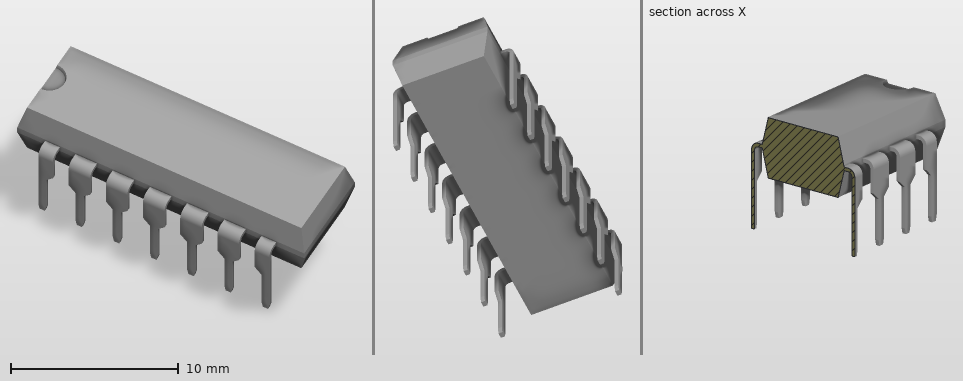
import cadquery as cq
import math

body_length = 19.6
body_width = 6.2
draft_height = 1.7
belt_height = 0.47
draft_inset = 0.43
body_height = 2 * draft_height + belt_height
draft_angle = math.degrees(math.atan2(draft_inset, draft_height))

notch_radius = 1.02
notch_floor_radius = 0.95
notch_depth = 0.24
notch_edge_offset = 0.04
notch_center_x = -body_length / 2 + draft_inset + notch_edge_offset

leads_per_row = 7
row_length = 15.25
pitch = row_length / (leads_per_row - 1)
row_span = 7.88
overall_height = 7.37
lead_thickness = 0.25
bend_outer_radius = 0.53
bend_inner_radius = bend_outer_radius - lead_thickness
shoulder_width = 1.47
pin_width = 0.53
tip_width = 0.35
tip_height = 0.4

body_top_z = body_height / 2
body_bottom_z = -body_height / 2
lead_top_z = lead_thickness / 2
lead_bottom_z = body_top_z - overall_height
shoulder_end_z = body_bottom_z
pin_start_z = shoulder_end_z - (shoulder_width - pin_width) / 2
tip_start_z = lead_bottom_z + tip_height

lead_root_depth = 0.4


def make_body():
    belt = cq.Workplane("XY").box(body_length, body_width, belt_height)
    upper = belt.faces(">Z").workplane().rect(body_length, body_width).extrude(
        draft_height, taper=draft_angle, combine=False
    )
    lower = upper.mirror("XY")
    return belt.union(upper).union(lower)


def make_notch():
    return (
        cq.Workplane("XY", origin=(notch_center_x, 0, body_top_z - notch_depth))
        .circle(notch_floor_radius)
        .workplane(offset=notch_depth)
        .circle(notch_radius)
        .loft()
    )


def make_bent_sheet():
    """Bent strip of the -Y row, as long as the whole row of leads."""
    outer_y = -row_span / 2
    root_y = -body_width / 2 + lead_root_depth
    bend_y = outer_y + bend_outer_radius
    bend_z = lead_top_z - bend_outer_radius
    diagonal = math.sqrt(0.5)
    outer_mid = (bend_y - bend_outer_radius * diagonal, bend_z + bend_outer_radius * diagonal)
    inner_mid = (bend_y - bend_inner_radius * diagonal, bend_z + bend_inner_radius * diagonal)
    return (
        cq.Workplane("YZ")
        .moveTo(root_y, lead_top_z)
        .lineTo(bend_y, lead_top_z)
        .threePointArc(outer_mid, (outer_y, bend_z))
        .lineTo(outer_y, lead_bottom_z)
        .lineTo(outer_y + lead_thickness, lead_bottom_z)
        .lineTo(outer_y + lead_thickness, bend_z)
        .threePointArc(inner_mid, (bend_y, lead_top_z - lead_thickness))
        .lineTo(root_y, lead_top_z - lead_thickness)
        .close()
        .extrude(body_length / 2, both=True)
    )


def make_lead_blank(center_x, left_shoulder, right_shoulder):
    """Front outline of one lead; a side without a shoulder runs straight down."""
    half_pin = pin_width / 2
    half_tip = tip_width / 2
    half_shoulder = shoulder_width / 2
    left = half_shoulder if left_shoulder else half_pin
    right = half_shoulder if right_shoulder else half_pin
    outline = [(-left, lead_top_z)]
    if left_shoulder:
        outline.append((-half_shoulder, shoulder_end_z))
        outline.append((-half_pin, pin_start_z))
    outline += [
        (-half_pin, tip_start_z),
        (-half_tip, lead_bottom_z),
        (half_tip, lead_bottom_z),
        (half_pin, tip_start_z),
    ]
    if right_shoulder:
        outline.append((half_pin, pin_start_z))
        outline.append((half_shoulder, shoulder_end_z))
    outline.append((right, lead_top_z))
    return (
        cq.Workplane("XZ", origin=(center_x, 0, 0))
        .polyline(outline)
        .close()
        .extrude(row_span)
    )


def make_lead_row():
    sheet = make_bent_sheet()
    row = cq.Workplane("XY")
    for index in range(leads_per_row):
        center_x = index * pitch - row_length / 2
        blank = make_lead_blank(center_x, index > 0, index < leads_per_row - 1)
        row = row.add(sheet.intersect(blank))
    return row.combine()


front_row = make_lead_row()
back_row = front_row.mirror("XZ")
result = make_body().cut(make_notch()).union(front_row).union(back_row)